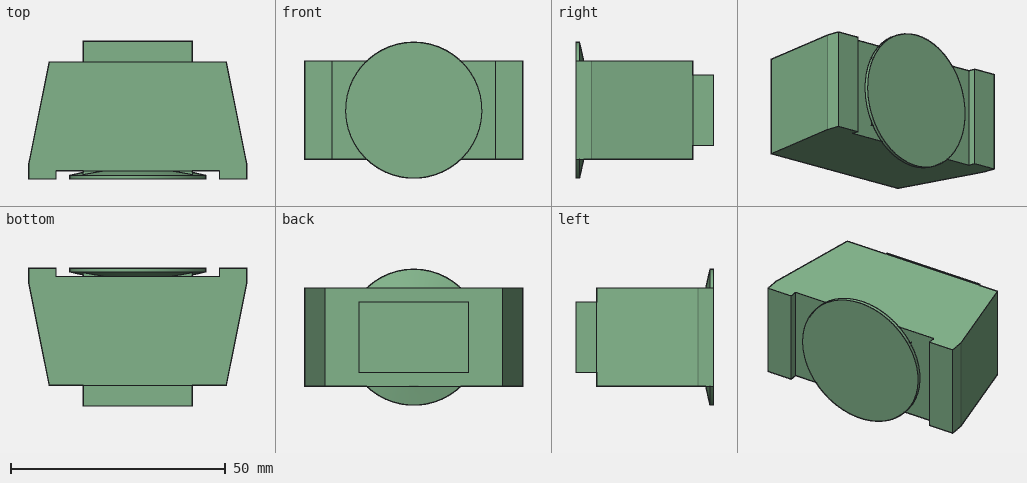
import cadquery as cq

total_depth = 32.1

housing_width = 50.8
housing_rear_width = 41.3
housing_depth = 27.3
housing_height = 22.95
straight_side_depth = 3.6
foot_width = 6.4
recess_depth = 1.9

bar_width = 25.5
bar_height = 16.45
disc_diameter = 31.75
disc_thickness = 0.85
cone_rear_radius = 11.4



def make_bar(start_y, length):
    """Rectangular bar along +Y, centred on the Y axis."""
    return cq.Workplane("XY").box(bar_width, length, bar_height).translate((0, start_y + length / 2, 0))


def make_housing():
    """Tapered body, recessed between its feet, with a through opening for the bar."""
    half_width = housing_width / 2
    half_rear = housing_rear_width / 2
    half_recess = half_width - foot_width
    body = (
        cq.Workplane("XY")
        .polyline([
            (-half_width, 0),
            (-half_recess, 0),
            (-half_recess, recess_depth),
            (half_recess, recess_depth),
            (half_recess, 0),
            (half_width, 0),
            (half_width, straight_side_depth),
            (half_rear, housing_depth),
            (-half_rear, housing_depth),
            (-half_width, straight_side_depth),
        ])
        .close()
        .extrude(housing_height / 2, both=True)
    )
    return body.cut(make_bar(0, total_depth)).solids()


def make_plunger():
    """Disc and cone revolved about the Y axis, joined to the bar."""
    disc_radius = disc_diameter / 2
    head = (
        cq.Workplane("YZ")
        .polyline([
            (0, 0),
            (0, disc_radius),
            (disc_thickness, disc_radius),
            (recess_depth, cone_rear_radius),
            (recess_depth, 0),
        ])
        .close()
        .revolve(360, (0, 0, 0), (1, 0, 0))
    )
    bar = make_bar(disc_thickness, total_depth - disc_thickness)
    return head.union(bar).solids()


housing = make_housing()
plunger = make_plunger()

result = cq.Compound.makeCompound([housing.val(), plunger.val()])